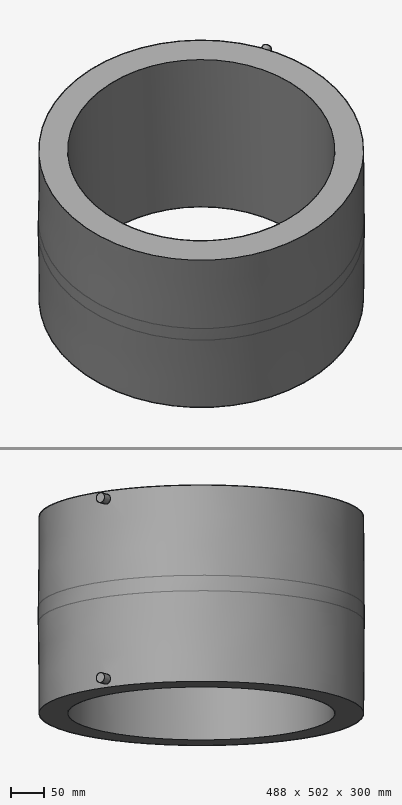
import cadquery as cq

height = 300.0
bore_radius = 200.0
band_radius = 244.0
band_height = 23.5
end_taper = 1.0
end_radius = band_radius - end_taper

pin_diameter = 15.0
pin_end_inset = 12.5
pin_tip_y = 258.0
pin_root_y = (bore_radius + band_radius) / 2


def make_sleeve():
    """Ring with a cylindrical central band and a slight cone towards each end."""
    half_height = height / 2
    half_band = band_height / 2
    profile = [
        (bore_radius, -half_height),
        (end_radius, -half_height),
        (band_radius, -half_band),
        (band_radius, half_band),
        (end_radius, half_height),
        (bore_radius, half_height),
    ]
    return cq.Workplane("XZ").polyline(profile).close().revolve(360, (0, 0), (0, 1))


def make_pin(z):
    """Round pin along +Y, from inside the wall to its free tip."""
    return (
        cq.Workplane("XZ", origin=(0, pin_root_y, z))
        .circle(pin_diameter / 2)
        .extrude(pin_root_y - pin_tip_y)
    )


pin_height = height / 2 - pin_end_inset
result = make_sleeve()
for z in (-pin_height, pin_height):
    result = result.union(make_pin(z))